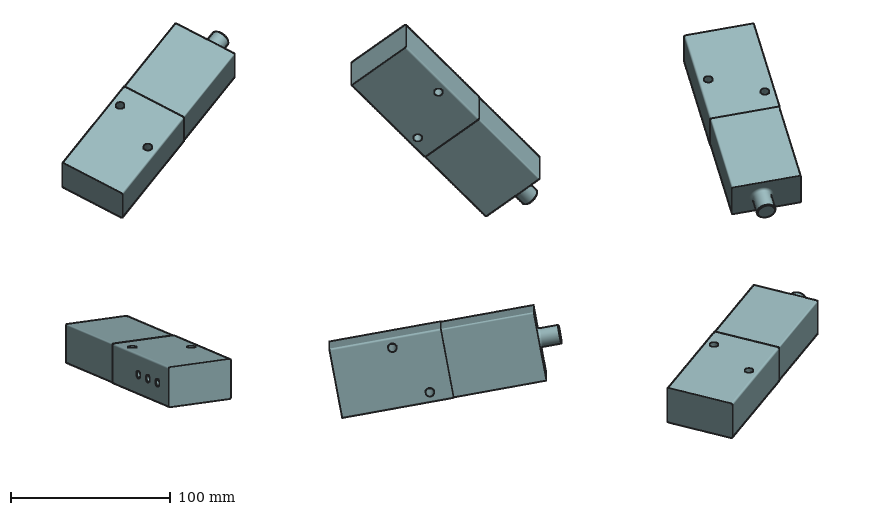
import cadquery as cq

total_length = 143.5
front_width = 45.0
front_height = 26.0
front_length = 71.0
corner_radius = 1.3

rear_inset = 0.3
rear_width = front_width - 2 * rear_inset
rear_height = front_height - 2 * rear_inset
rear_corner_radius = corner_radius - rear_inset

connector_diameter = 12.0
connector_length = 13.5
connector_offset_x = 3.2
connector_tip_chamfer = 0.6
connector_root_radius = 1.7

mount_diameter = 5.5
mount_offset_x = 16.1
mount_left_from_front = 57.0
mount_right_from_front = 39.0

port_count = 3
port_diameter = 4.2
port_mouth_diameter = 5.0
port_depth = 10.0
port_pitch = 12.0
first_port_from_front = 14.2

front_y = -total_length / 2
step_y = front_y + front_length
rear_y = total_length / 2 - connector_length
left_x = -front_width / 2


def rounded_bar(width, height, edge_radius, start_y, end_y):
    """Bar along Y with its four long edges rounded."""
    length = end_y - start_y
    bar = cq.Workplane("XY").box(width, length, height).edges("|Y").fillet(edge_radius)
    return bar.translate((0, (start_y + end_y) / 2, 0))


def connector():
    """Stub turned about Y, with a concave fillet at its root and a chamfered tip."""
    radius = connector_diameter / 2
    tip_y = total_length / 2
    flare_radius = radius + connector_root_radius
    flare_end_y = rear_y + connector_root_radius
    profile = (
        cq.Workplane("XY")
        .moveTo(0, rear_y)
        .lineTo(flare_radius, rear_y)
        .radiusArc((radius, flare_end_y), connector_root_radius)
        .lineTo(radius, tip_y - connector_tip_chamfer)
        .lineTo(radius - connector_tip_chamfer, tip_y)
        .lineTo(0, tip_y)
        .close()
    )
    return profile.revolve(360, (0, 0, 0), (0, 1, 0)).translate((connector_offset_x, 0, 0))


def mount_holes():
    """Cutters for the two diagonal through holes."""
    centres = [
        (-mount_offset_x, front_y + mount_left_from_front),
        (mount_offset_x, front_y + mount_right_from_front),
    ]
    return (
        cq.Workplane("XY")
        .pushPoints(centres)
        .circle(mount_diameter / 2)
        .extrude(front_height, both=True)
    )


def port(centre_y):
    """Cutter for one blind port with a 45 degree countersunk mouth."""
    radius = port_diameter / 2
    mouth_radius = port_mouth_diameter / 2
    mouth_depth = mouth_radius - radius
    profile = (
        cq.Workplane("XY")
        .moveTo(left_x, 0)
        .lineTo(left_x, mouth_radius)
        .lineTo(left_x + mouth_depth, radius)
        .lineTo(left_x + port_depth, radius)
        .lineTo(left_x + port_depth, 0)
        .close()
    )
    return profile.revolve(360, (0, 0, 0), (1, 0, 0)).translate((0, centre_y, 0))


result = rounded_bar(front_width, front_height, corner_radius, front_y, step_y)
result = result.union(rounded_bar(rear_width, rear_height, rear_corner_radius, step_y, rear_y))
result = result.union(connector())
result = result.cut(mount_holes())
for index in range(port_count):
    result = result.cut(port(front_y + first_port_from_front + index * port_pitch))